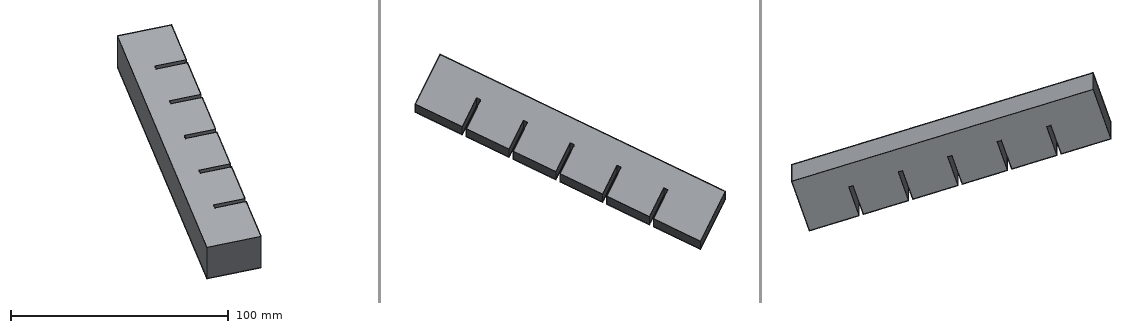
import cadquery as cq

length = 146.0
width = 26.0
height = 20.0

slot_count = 5
slot_pitch = 24.0
slot_width = 2.0
slot_depth = 15.0


def make_bar():
    return cq.Workplane("XY").box(length, width, height)


def make_slots():
    """Slots spaced evenly about the middle of the bar, open at its +Y side."""
    slot_center_y = width / 2 - slot_depth / 2
    return (
        cq.Workplane("XY")
        .center(0, slot_center_y)
        .rarray(slot_pitch, 1.5, slot_count, 1)
        .box(slot_width, slot_depth, height)
    )


result = make_bar().cut(make_slots())